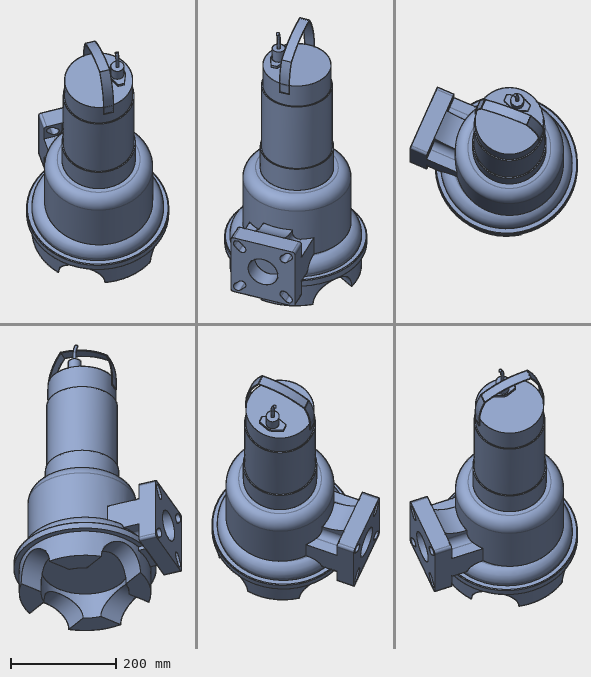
import cadquery as cq
import math


base_x = -6.0
base_radius = 125.0

foot_height = 56.0
foot_bore_radius = 167.0 / 2
arch_radius = 45.5
arch_count = 4
arch_start_angle = 58

rim_radius = 135.5
rim_thickness = 14.5
rim_chamfer = 1.5

housing_radius = 206.0 / 2
shoulder_radius = 24.0
lower_shoulder_top = 100.0
housing_top = 232.5

outlet_face_x = -177.5
outlet_thickness = 34.5
outlet_size = 131.0
outlet_z = 110.5
outlet_corner_radius = 5.5
outlet_bore_diameter = 60.5
bolt_circle_radius = 67.0
slot_width = 16.5
slot_length = 29.0

slab_height = 58.0
rib_width = 59.0
rib_bottom = 47.5
rib_corner_radius = 15.0
rib_high = 176.0
rib_low = 162.5
rib_dip_length = 43.0

collar_radius = 140.0 / 2
collar_top = 283.5
motor_radius = 135.0 / 2
motor_top = 433.0

cap_radius = 130 / 2
cap_top = 482.0

strap_thickness = 2.0
strap_width = 20.0
strap_half_span = 66.5
strap_bottom = 462.0
strap_bend_z = 482.0
strap_left_corner = (-55.0, 532.5)
strap_peak = (40.5, 564.0)

gland_y = 37.0
gland_plate_length = 49.5
gland_plate_end_width = 12.5
gland_plate_boss_radius = 15.0
gland_plate_thickness = 5.0
gland_radius = 25.0 / 2
gland_top = 512.0

cable_radius = 6.0 / 2
cable_bend_z = 534.5
cable_bend_radius = 28.0
cable_bend_angle = 32

rim_top = foot_height + rim_thickness
outlet_back_x = outlet_face_x + outlet_thickness
neck_end_x = -housing_radius / 2


def cylinder(radius, bottom, top, x=0.0, y=0.0):
    """Upright cylinder between two heights."""
    return cq.Workplane("XY", origin=(x, y, bottom)).circle(radius).extrude(top - bottom)


def tangent_radius(across, along):
    """Radius of an arc that leaves a line, covers `along` beside it and moves `across` away."""
    return (across ** 2 + along ** 2) / (2 * across)


def make_foot():
    ring = cylinder(base_radius, 0, foot_height, base_x)
    ring = ring.cut(cylinder(foot_bore_radius, 0, foot_height, base_x))
    for i in range(arch_count):
        angle = arch_start_angle + i * 360 / arch_count
        arch = (
            cq.Workplane("YZ").circle(arch_radius).extrude(base_radius)
            .rotate((0, 0, 0), (0, 0, 1), angle)
            .translate((base_x, 0, 0))
        )
        ring = ring.cut(arch)
    return ring


def make_neck():
    """Slab and rib joining the mounting flange to the housing, trimmed to the foot."""
    length = neck_end_x - outlet_back_x
    section = cq.Workplane("YZ", origin=(outlet_back_x, 0, 0))
    slab = section.center(0, outlet_z).rect(outlet_size, slab_height).extrude(length)
    rib_height = rib_high - rib_bottom
    rib = (
        section.center(0, rib_bottom + rib_height / 2)
        .rect(rib_width, rib_height).extrude(length)
    )
    neck = slab.union(rib)

    half_rib = rib_width / 2
    half_slab = slab_height / 2
    fill_outer_y = half_rib + rib_corner_radius
    fill_outer_z = half_slab + rib_corner_radius
    arc_middle_gap = rib_corner_radius * math.sqrt(0.5)
    for side in (-1, 1):
        for up in (-1, 1):
            fill = (
                section.moveTo(side * half_rib, outlet_z + up * half_slab)
                .lineTo(side * fill_outer_y, outlet_z + up * half_slab)
                .threePointArc(
                    (
                        side * (fill_outer_y - arc_middle_gap),
                        outlet_z + up * (fill_outer_z - arc_middle_gap),
                    ),
                    (side * half_rib, outlet_z + up * fill_outer_z),
                )
                .close().extrude(length)
            )
            neck = neck.union(fill)

    dip_end_x = outlet_back_x + rib_dip_length
    dip_radius = tangent_radius(rib_high - rib_low, rib_dip_length)
    dip = (
        cq.Workplane("XZ").moveTo(outlet_back_x, rib_high)
        .radiusArc((dip_end_x, rib_low), -dip_radius)
        .lineTo(neck_end_x, rib_low)
        .lineTo(neck_end_x, rib_high)
        .close().extrude(rib_width / 2, both=True)
    )
    return neck.cut(dip).cut(cylinder(base_radius, 0, foot_height, base_x))


def make_mounting_flange():
    face = cq.Workplane("YZ", origin=(outlet_face_x, 0, outlet_z))
    slot_offset = bolt_circle_radius * math.sqrt(0.5)
    flange = face.rect(outlet_size, outlet_size).extrude(outlet_thickness)
    flange = flange.edges("|X").fillet(outlet_corner_radius)
    bore = face.circle(outlet_bore_diameter / 2).extrude(outlet_thickness)
    flange = flange.cut(bore)
    for side in (-1, 1):
        for up in (-1, 1):
            slot = (
                face.center(side * slot_offset, up * slot_offset)
                .slot2D(slot_length, slot_width, 45 * side * up).extrude(outlet_thickness)
            )
            flange = flange.cut(slot)
    return flange


def make_housing():
    rim = cylinder(rim_radius, foot_height, rim_top, base_x).faces(">Z").chamfer(rim_chamfer)
    lower = cylinder(base_radius, foot_height, lower_shoulder_top, base_x)
    lower = lower.faces(">Z").edges().fillet(shoulder_radius)
    upper = cylinder(housing_radius, foot_height, housing_top)
    upper = upper.faces(">Z").edges().fillet(shoulder_radius)
    return rim.union(lower).union(upper).union(make_neck()).union(make_mounting_flange())


def make_motor():
    collar = cylinder(collar_radius, housing_top, collar_top)
    return collar.union(cylinder(motor_radius, collar_top, motor_top))


def make_handle():
    corner_x, corner_z = strap_left_corner
    peak_x, peak_z = strap_peak
    right_radius = tangent_radius(strap_half_span - peak_x, peak_z - strap_bend_z)
    top_radius = tangent_radius(peak_z - corner_z, peak_x - corner_x)
    left_radius = tangent_radius(strap_half_span + corner_x, corner_z - strap_bend_z)
    envelope = (
        cq.Workplane("XZ").moveTo(strap_half_span, strap_bottom)
        .lineTo(strap_half_span, strap_bend_z)
        .radiusArc(strap_peak, -right_radius)
        .radiusArc(strap_left_corner, -top_radius)
        .radiusArc((-strap_half_span, strap_bend_z), -left_radius)
        .lineTo(-strap_half_span, strap_bottom)
        .close().extrude(strap_width / 2, both=True)
    )
    return envelope.faces("|Y or <Z").shell(-strap_thickness)


def make_cap(handle):
    return cylinder(cap_radius, motor_top, cap_top).cut(handle)


def make_gland():
    plate_top = cap_top + gland_plate_thickness
    end_x = gland_plate_length / 2
    end_y = gland_plate_end_width / 2

    corner_distance = math.hypot(end_x, end_y)
    tangent_angle = math.atan2(end_y, end_x) + math.acos(gland_plate_boss_radius / corner_distance)
    tangent_x = gland_plate_boss_radius * math.cos(tangent_angle)
    tangent_y = gland_plate_boss_radius * math.sin(tangent_angle)
    plate = (
        cq.Workplane("XY", origin=(0, gland_y, cap_top))
        .moveTo(end_x, -end_y)
        .lineTo(end_x, end_y)
        .lineTo(tangent_x, tangent_y)
        .threePointArc((0, gland_plate_boss_radius), (-tangent_x, tangent_y))
        .lineTo(-end_x, end_y)
        .lineTo(-end_x, -end_y)
        .lineTo(-tangent_x, -tangent_y)
        .threePointArc((0, -gland_plate_boss_radius), (tangent_x, -tangent_y))
        .close().extrude(gland_plate_thickness)
    )
    return plate.union(cylinder(gland_radius, plate_top, gland_top, y=gland_y))


def make_cable():
    stub = cylinder(cable_radius, gland_top, cable_bend_z, y=gland_y)
    bend = (
        cq.Workplane("XY", origin=(0, gland_y, cable_bend_z)).circle(cable_radius)
        .revolve(cable_bend_angle, (-cable_bend_radius, 5.5), (-cable_bend_radius, 0))
    )
    return stub.union(bend)


foot = make_foot()
housing = make_housing()
motor = make_motor()
handle = make_handle()
cap = make_cap(handle)
gland = make_gland()
cable = make_cable()

result = cq.Compound.makeCompound(
    [body.val() for body in (foot, housing, motor, cap, handle, gland, cable)]
)